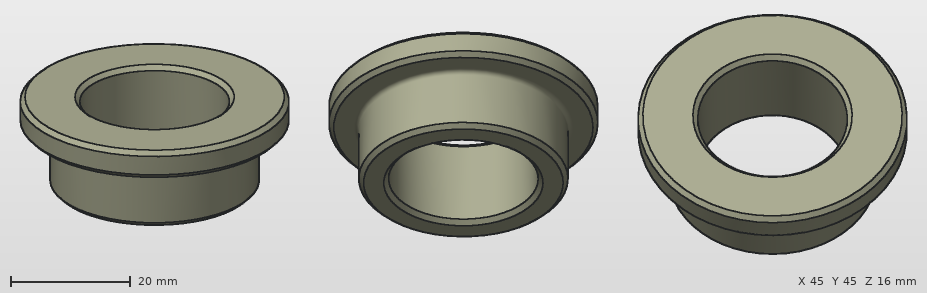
import cadquery as cq

flange_diameter = 45.0
sleeve_diameter = 35.0
bore_diameter = 25.0
total_height = 16.0
flange_thickness = 5.0
edge_chamfer = 0.8
neck_fillet = 0.8

sleeve_length = total_height - flange_thickness

sleeve = (
    cq.Workplane("XY")
    .circle(sleeve_diameter / 2)
    .extrude(sleeve_length)
    .edges("<Z")
    .chamfer(edge_chamfer)
)

flange = (
    cq.Workplane("XY", origin=(0, 0, sleeve_length))
    .circle(flange_diameter / 2)
    .extrude(flange_thickness)
    .edges("%CIRCLE")
    .chamfer(edge_chamfer)
)

underside = cq.selectors.NearestToPointSelector((0, 0, sleeve_length))
body = sleeve.union(flange)
body = body.edges(underside).fillet(neck_fillet)

bore = cq.Workplane("XY").circle(bore_diameter / 2).extrude(total_height)
mouth_radius = bore_diameter / 2 + edge_chamfer
lower_bevel = cq.Solid.makeCone(mouth_radius, bore_diameter / 2, edge_chamfer)
upper_bevel = cq.Solid.makeCone(
    bore_diameter / 2,
    mouth_radius,
    edge_chamfer,
    pnt=cq.Vector(0, 0, total_height - edge_chamfer),
)
result = body.cut(bore).cut(cq.Workplane(lower_bevel)).cut(cq.Workplane(upper_bevel))